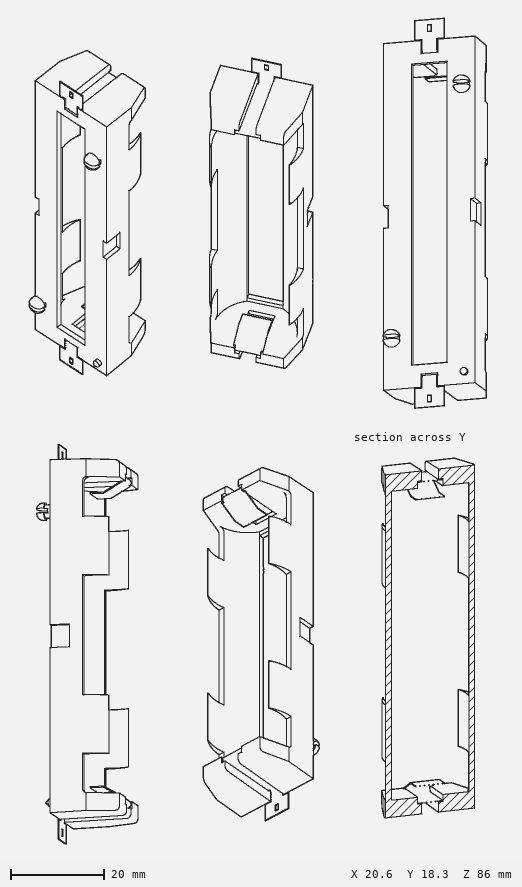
import cadquery as cq
import math


OVERALL_LENGTH = 86.0
HOUSING_LENGTH = 77.0
HOUSING_DEPTH = 14.9
HALF_WIDTH = 10.3
HOUSING_TOP = HOUSING_LENGTH / 2

RAIL_DEPTH = 7.2
END_BLOCK = 4.0
TAPER_START = 8.0
TAPER_TOP_HALF = 8.1
DRAFT_ANGLE = 1.0
BACK_FILLET = 1.0
CORNER_FILLET = 0.95
CAVITY_TOP = HOUSING_TOP - END_BLOCK

SEAT_RADIUS = 9.2
SEAT_AXIS_Y = 9.5
WINDOW_WIDTH = 8.0
WINDOW_LENGTH = 66.8
FLOOR = SEAT_AXIS_Y - math.sqrt(SEAT_RADIUS**2 - (WINDOW_WIDTH / 2) ** 2)

ARM_DEPTH = 12.6
ARM_LENGTH = 12.7
ARM_CENTRE_Z = 19.4

NOTCH_WIDTH = 5.0
NOTCH_DEPTH = 4.3
NOTCH_INSET = 1.0

SNAP_X = 7.9
SNAP_Z = 27.6
SNAP_SHAFT_RADIUS = 1.5
SNAP_BASE_FILLET = 0.8
SNAP_HEAD_RADIUS = 1.9
SNAP_HEAD_START = 1.55
SNAP_DOME_START = 2.1
SNAP_LENGTH = 3.4
SNAP_SLOT = 0.95

LOCATOR_X = 8.0
LOCATOR_Z = -35.9
LOCATOR_RADIUS = 0.8
LOCATOR_SHAFT = 0.8
LOCATOR_LENGTH = 1.55

SHEET = 0.24
CONTACT_WIDTH = 6.6
STRIP_WIDTH = 5.8
NECK_WIDTH = 3.35
TAB_GAP = 0.2
TAB_BOTTOM = HOUSING_TOP + TAB_GAP
TAB_HOLE_WIDTH = 0.9
TAB_HOLE_HEIGHT = 1.5
TAB_HOLE_DROP = 1.9
NECK_BEND = 0.7
HOOK_BEND = 0.95
HOOK_INSET = 0.3
SPRING_SLOPE = 30.0
SPRING_BEND = 0.4
SPRING_BOTTOM = 31.9
SPRING_END_Y = 7.1

CHANNEL_WIDTH = 3.8
CHANNEL_DEPTH = 2.5
SLOT_CLEARANCE = 0.2
RECESS_START_Y = 3.6
STRIP_TOP = HOUSING_TOP - CHANNEL_DEPTH
STRIP_BOTTOM = STRIP_TOP - SHEET
SLOT_BOTTOM = STRIP_BOTTOM - SLOT_CLEARANCE


def block(x_size, y_start, y_end, z_start, z_end):
    """Box centred on X that spans the given Y and Z ranges."""
    return (
        cq.Workplane("XY")
        .box(x_size, y_end - y_start, z_end - z_start, centered=(True, False, False))
        .translate((0, y_start, z_start))
    )


def both_ends(shape):
    """The shape together with its mirror image at the other end of the holder."""
    return shape.union(shape.mirror("XY"))



def make_shell():
    """Rails and end blocks from the side outline, with the flanks of the end blocks tapered."""
    draft_drop = HOUSING_DEPTH * math.tan(math.radians(DRAFT_ANGLE))
    side_outline = [
        (0, 0),
        (0, HOUSING_TOP),
        (HOUSING_DEPTH, HOUSING_TOP - draft_drop),
        (HOUSING_DEPTH, CAVITY_TOP),
        (RAIL_DEPTH, CAVITY_TOP),
        (RAIL_DEPTH, 0),
    ]
    half = cq.Workplane("YZ").polyline(side_outline).close().extrude(HALF_WIDTH, both=True)
    outer_back_edge = cq.NearestToPointSelector((0, HOUSING_DEPTH, HOUSING_TOP))
    half = half.edges(outer_back_edge).fillet(BACK_FILLET)
    inner_corner = cq.NearestToPointSelector((0, RAIL_DEPTH, CAVITY_TOP))
    half = half.edges(inner_corner).fillet(CORNER_FILLET)

    end_outline = [
        (-HALF_WIDTH, 0),
        (HALF_WIDTH, 0),
        (HALF_WIDTH, TAPER_START),
        (TAPER_TOP_HALF, HOUSING_DEPTH),
        (-TAPER_TOP_HALF, HOUSING_DEPTH),
        (-HALF_WIDTH, TAPER_START),
    ]
    envelope = cq.Workplane("XY").polyline(end_outline).close().extrude(HOUSING_TOP)
    return both_ends(half.intersect(envelope))


def make_arms():
    """Four arms, each round outside from the back of a rail; the battery seat shapes their inside."""
    arms = (
        cq.Workplane("XY")
        .center(0, RAIL_DEPTH)
        .circle(HALF_WIDTH)
        .extrude(ARM_LENGTH / 2, both=True)
        .intersect(block(2 * HALF_WIDTH, RAIL_DEPTH, ARM_DEPTH, -ARM_LENGTH / 2, ARM_LENGTH / 2))
    )
    return both_ends(arms.translate((0, 0, ARM_CENTRE_Z)))


def make_seat_cutter():
    """Round battery seat with a flat floor, and the window through that floor."""
    seat = (
        cq.Workplane("XY")
        .center(0, SEAT_AXIS_Y)
        .circle(SEAT_RADIUS)
        .extrude(CAVITY_TOP, both=True)
        .intersect(block(2 * HALF_WIDTH, FLOOR, 2 * HOUSING_DEPTH, -CAVITY_TOP, CAVITY_TOP))
    )
    window = block(WINDOW_WIDTH, 0, FLOOR, -WINDOW_LENGTH / 2, WINDOW_LENGTH / 2)
    return seat.union(window)


def make_side_notches():
    """Shallow notches in both long sides, open to the mounting face."""
    across = block(2 * HALF_WIDTH, 0, NOTCH_DEPTH, -NOTCH_WIDTH / 2, NOTCH_WIDTH / 2)
    core = block(2 * (HALF_WIDTH - NOTCH_INSET), 0, NOTCH_DEPTH, -NOTCH_WIDTH / 2, NOTCH_WIDTH / 2)
    return across.cut(core)


def make_contact_cutter():
    """Outer channel, neck notch, strip slot and inner recess for the contact at each end."""
    channel = block(CHANNEL_WIDTH, 0, HOUSING_DEPTH, STRIP_TOP, HOUSING_TOP)
    neck_notch = block(CHANNEL_WIDTH, 0, NECK_BEND, SLOT_BOTTOM, HOUSING_TOP)
    strip_slot = block(STRIP_WIDTH, NECK_BEND, HOUSING_DEPTH, SLOT_BOTTOM, STRIP_TOP)
    recess = block(STRIP_WIDTH, RECESS_START_Y, HOUSING_DEPTH, CAVITY_TOP, STRIP_TOP)
    return both_ends(channel.union(neck_notch).union(strip_slot).union(recess))


def make_snap_pin():
    """Split pin on the mounting face, pointing to -Y, with a flared base and a domed head."""
    diagonal = math.sqrt(0.5)
    base_radius = SNAP_SHAFT_RADIUS + SNAP_BASE_FILLET
    base_mid = (base_radius - SNAP_BASE_FILLET * diagonal, -SNAP_BASE_FILLET * (1 - diagonal))
    dome = SNAP_LENGTH - SNAP_DOME_START
    tip_radius = SNAP_HEAD_RADIUS - dome
    dome_mid = (tip_radius + dome * diagonal, -SNAP_DOME_START - dome * diagonal)
    pin = (
        cq.Workplane("XY")
        .moveTo(0, 0)
        .lineTo(base_radius, 0)
        .threePointArc(base_mid, (SNAP_SHAFT_RADIUS, -SNAP_BASE_FILLET))
        .lineTo(SNAP_SHAFT_RADIUS, -SNAP_HEAD_START)
        .lineTo(SNAP_HEAD_RADIUS, -SNAP_HEAD_START)
        .lineTo(SNAP_HEAD_RADIUS, -SNAP_DOME_START)
        .threePointArc(dome_mid, (tip_radius, -SNAP_LENGTH))
        .lineTo(0, -SNAP_LENGTH)
        .close()
        .revolve(360, (0, 0, 0), (0, 1, 0))
    )
    slot = block(2 * SNAP_HEAD_RADIUS, -SNAP_LENGTH, -SNAP_BASE_FILLET, -SNAP_SLOT / 2, SNAP_SLOT / 2)
    return pin.cut(slot)


def make_locator():
    """Small pin with a conical point on the mounting face."""
    outline = [
        (0, 0),
        (LOCATOR_RADIUS, 0),
        (LOCATOR_RADIUS, -LOCATOR_SHAFT),
        (0, -LOCATOR_LENGTH),
    ]
    pin = cq.Workplane("XY").polyline(outline).close().revolve(360, (0, 0, 0), (0, 1, 0))
    return pin.translate((LOCATOR_X, 0, LOCATOR_Z))


def make_housing():
    housing = make_shell().union(make_arms())
    housing = housing.cut(make_seat_cutter())
    housing = housing.cut(make_side_notches())
    housing = housing.cut(make_contact_cutter())
    for side in (-1, 1):
        housing = housing.union(make_snap_pin().translate((side * SNAP_X, 0, side * SNAP_Z)))
    return housing.union(make_locator())



def on_circle(centre, radius, degrees):
    """Point in the YZ plane at an angle from +Y on a circle."""
    angle = math.radians(degrees)
    return (centre[0] + radius * math.cos(angle), centre[1] + radius * math.sin(angle))


def make_top_contact():
    """Strip swept along its middle line: tab, neck bend, outer run, hook and sloped spring."""
    half_sheet = SHEET / 2
    neck_radius = NECK_BEND - half_sheet
    hook_radius = HOOK_BEND - half_sheet
    spring_radius = SPRING_BEND - half_sheet
    tab_top = (half_sheet, OVERALL_LENGTH / 2)
    neck_centre = (NECK_BEND, STRIP_BOTTOM + NECK_BEND)
    hook_centre = (HOUSING_DEPTH - HOOK_INSET - HOOK_BEND, STRIP_TOP - HOOK_BEND)

    slope = math.radians(SPRING_SLOPE)
    spring_centre_z = SPRING_BOTTOM + SPRING_BEND
    rise = hook_centre[1] - spring_centre_z
    run = (rise * math.cos(slope) - (hook_radius - spring_radius)) / math.sin(slope)
    spring_centre = (hook_centre[0] - run, spring_centre_z)
    slope_side = SPRING_SLOPE - 90

    path = (
        cq.Workplane("YZ")
        .moveTo(*tab_top)
        .lineTo(*on_circle(neck_centre, neck_radius, 180))
        .threePointArc(on_circle(neck_centre, neck_radius, 225), on_circle(neck_centre, neck_radius, 270))
        .lineTo(*on_circle(hook_centre, hook_radius, 90))
        .threePointArc(
            on_circle(hook_centre, hook_radius, (90 + slope_side) / 2),
            on_circle(hook_centre, hook_radius, slope_side),
        )
        .lineTo(*on_circle(spring_centre, spring_radius, slope_side))
        .threePointArc(
            on_circle(spring_centre, spring_radius, (slope_side - 90) / 2),
            on_circle(spring_centre, spring_radius, -90),
        )
        .lineTo(SPRING_END_Y, SPRING_BOTTOM + half_sheet)
    )
    strip = (
        cq.Workplane("XY", origin=(0, *tab_top))
        .rect(CONTACT_WIDTH, SHEET)
        .sweep(path)
    )

    strip_sides = block(CONTACT_WIDTH, 0, HOUSING_DEPTH, CAVITY_TOP, TAB_BOTTOM).cut(
        block(STRIP_WIDTH, 0, HOUSING_DEPTH, CAVITY_TOP, TAB_BOTTOM)
    )
    neck_sides = block(STRIP_WIDTH, 0, NECK_BEND, STRIP_BOTTOM, TAB_BOTTOM).cut(
        block(NECK_WIDTH, 0, NECK_BEND, STRIP_BOTTOM, TAB_BOTTOM)
    )
    hole_centre_z = OVERALL_LENGTH / 2 - TAB_HOLE_DROP
    hole_half = TAB_HOLE_HEIGHT / 2
    tab_hole = block(TAB_HOLE_WIDTH, 0, SHEET, hole_centre_z - hole_half, hole_centre_z + hole_half)
    return strip.cut(strip_sides).cut(neck_sides).cut(tab_hole)


housing = make_housing()
top_contact = make_top_contact()
bottom_contact = top_contact.mirror("XY")

result = cq.Compound.makeCompound([housing.val(), top_contact.val(), bottom_contact.val()])